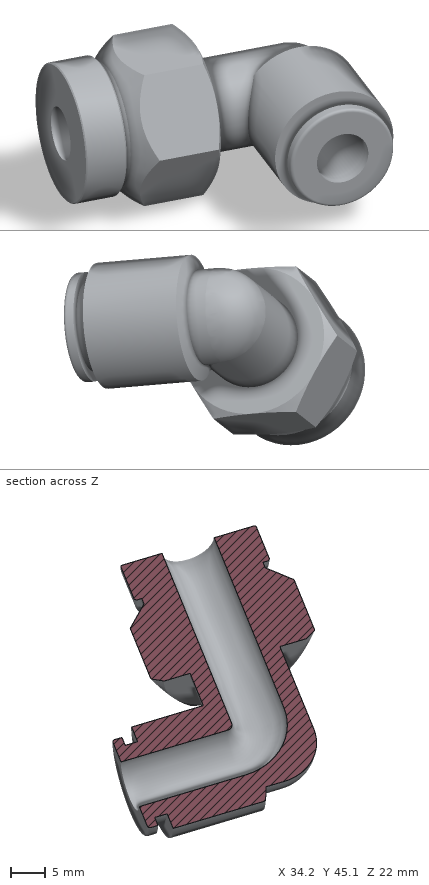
import cadquery as cq
import math

total_length = 45.05
total_width = 34.2
collar_radius = 9.25
elbow_y = total_length - collar_radius

pipe_radius = 7.0
bore_radius = 4.0
bore_bend_radius = 5.0

thread_radius = 10.5
thread_length = 6.4
thread_front_chamfer = 0.2
thread_back_chamfer = 0.25
relief_radius = 9.4

hex_flats = 22.0
hex_corner_radius = hex_flats / math.sqrt(3)
hex_front_y = 7.35
hex_back_y = 20.8
front_bevel_length = hex_corner_radius - relief_radius
back_bevel_width = hex_corner_radius - hex_flats / 2
back_bevel_length = back_bevel_width * math.tan(math.radians(30))

outlet_end_x = total_width - hex_corner_radius
collar_start_x = 2.85
collar_end_x = 18.05
collar_bevel_length = 0.9
sleeve_radius = 6.58
flange_radius = 8.0
flange_thickness = 1.58
flange_rounding = 0.45


def cylinder_y(radius, start, end):
    """Cylinder on the inlet axis between two Y positions."""
    return cq.Workplane("XZ", origin=(0, start, 0)).circle(radius).extrude(start - end)


def cylinder_x(radius, start, end):
    """Cylinder on the outlet axis between two X positions."""
    return cq.Workplane("YZ", origin=(start, elbow_y, 0)).circle(radius).extrude(end - start)


def outer_pipe():
    """Two round legs that meet in a ball of the same radius; the outlet leg stops inside the collar."""
    ball = cq.Workplane("XY").sphere(pipe_radius).translate((0, elbow_y, 0))
    inlet_leg = cylinder_y(pipe_radius, 0, elbow_y)
    outlet_leg = cylinder_x(pipe_radius, 0, collar_end_x)
    return inlet_leg.union(outlet_leg).union(ball)


def bore():
    """Through passage that follows both axes with a rounded bend."""
    bend_start_y = elbow_y - bore_bend_radius
    path = (
        cq.Workplane("XY")
        .moveTo(0, 0)
        .lineTo(0, bend_start_y)
        .radiusArc((bore_bend_radius, elbow_y), bore_bend_radius)
        .lineTo(outlet_end_x, elbow_y)
    )
    return cq.Workplane("XZ").circle(bore_radius).sweep(path)


def threaded_end():
    thread = cylinder_y(thread_radius, 0, thread_length)
    thread = thread.faces("<Y").chamfer(thread_front_chamfer)
    thread = thread.faces(">Y").chamfer(thread_back_chamfer)
    relief = cylinder_y(relief_radius, thread_length, hex_front_y)
    return thread.union(relief)


def hex_nut():
    """Hexagon with conical bevels at both ends, corners on the X axis."""
    prism = (
        cq.Workplane("XZ", origin=(0, hex_front_y, 0))
        .polygon(6, 2 * hex_corner_radius)
        .extrude(hex_front_y - hex_back_y)
    )
    bevel_envelope = (
        cq.Workplane("XY")
        .moveTo(0, hex_front_y)
        .lineTo(relief_radius, hex_front_y)
        .lineTo(hex_corner_radius, hex_front_y + front_bevel_length)
        .lineTo(hex_corner_radius, hex_back_y - back_bevel_length)
        .lineTo(hex_corner_radius - back_bevel_width, hex_back_y)
        .lineTo(0, hex_back_y)
        .close()
        .revolve(360, (0, 0, 0), (0, 1, 0))
    )
    return prism.intersect(bevel_envelope)


def outlet():
    collar = cylinder_x(collar_radius, collar_start_x, collar_end_x)
    collar = collar.faces("<X").chamfer(collar_bevel_length, collar_radius - pipe_radius)
    sleeve = cylinder_x(sleeve_radius, collar_end_x, outlet_end_x - flange_thickness)
    flange = cylinder_x(flange_radius, outlet_end_x - flange_thickness, outlet_end_x)
    flange = flange.faces(">X").fillet(flange_rounding)
    return collar.union(sleeve).union(flange)


result = (
    outer_pipe()
    .union(threaded_end())
    .union(hex_nut())
    .union(outlet())
    .cut(bore())
)